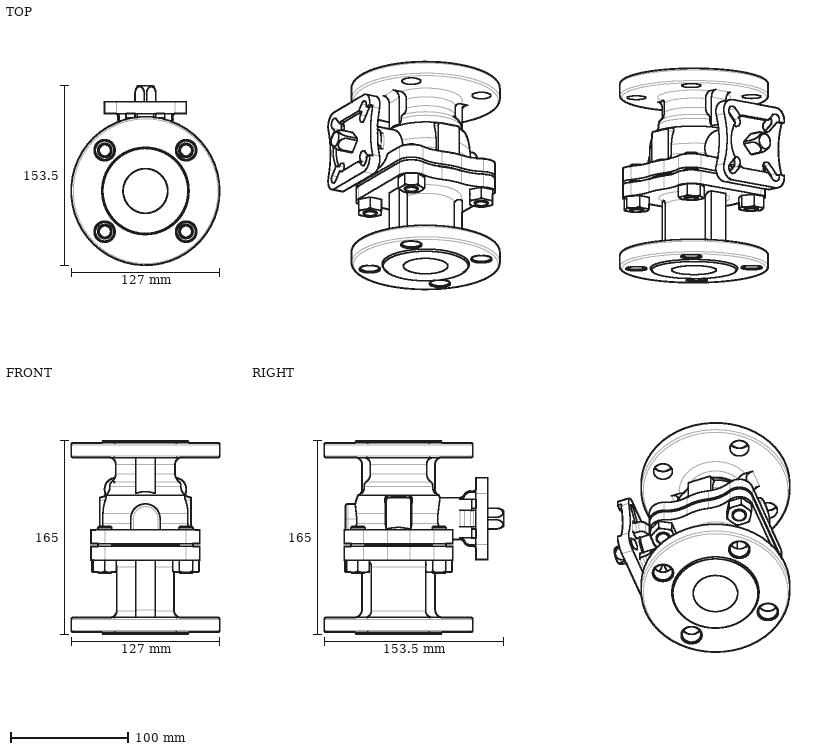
import cadquery as cq
import math


length = 165.0
bore_radius = 38.0 / 2
flange_radius = 127.0 / 2
flange_thickness = 12.5
flange_edge_fillet = 1.6
face_height = 1.6
face_radius = 37.3
face_taper = 30.0
flange_hole_diameter = 16.0
flange_hole_offset = 34.8
flange_hole_chamfer = 1.0
flange_back_low = face_height + flange_thickness
flange_back_high = length - flange_back_low

plate_thickness = 11.7
plate_gap = 2.3
plate_low = 63.2
plate_high = plate_low + plate_thickness + plate_gap
plate_top = plate_high + plate_thickness
bolt_offset = 34.6
plate_half_width = 46.5
plate_side_radius = 44.7
plate_side_half_angle = 12.5
plate_corner_wrap = 23.0
lower_spigot_radius = 40.5
upper_spigot_radius = 39.6

bolt_radius = 12.0 / 2
bolt_end_height = 3.0
bolt_chamfer = 1.2
bolt_tip = 0.8
nut_height = 10.2
nut_corner_radius = 11.2
nut_chamfer = 0.8

lower_neck_radius = 24.6
upper_neck_radius = 25.4
neck_fillet = 5.8
body_radius = 38.0
body_foot_fillet = 5.6
body_straight_top = 103.1
shoulder_radius = 34.6
shoulder_z = 118.5
collar_radius = 30.4
collar_z = 126.4
throat_radius = 28.7
throat_z = 130.2
upper_neck_base = 137.0

rib_width = 16.7
rib_reach = 31.4
rib_lower_fillet = 6.6
rib_upper_fillet = 5.6

front_pad_half_width = 12.5
front_pad_reach = 45.4
front_pad_fillet = 2.0
side_pad_reach = 39.1
side_pad_half_width = 10.4
side_pad_top = 116.7
side_pad_corner = 2.0
side_pad_depth = 13.2
side_pad_draft = 15.0

stem_z = 98.7
boss_radius = 35.8 / 2
boss_end = 62.7
mount_back = 66.2
mount_front = 76.2
mount_half_width = 35.0
mount_corner_radius = 10.0
mount_corner_wrap = 18.0
recess_half_width = 23.0
recess_radius = 26.4
recess_depth = 3.1
slot_width = 8.9
slot_inner_offset = 17.7
slot_outer_offset = 24.8
strut_width = 14.2
strut_radius = 23.6
strut_fillet = 2.3
strut_straight_end = 61.4
strut_bend_y = 56.3
strut_bend_radius = 20.5
strut_start = 52.0
stem_end = 90.0
stem_radius = 18.0 / 2
stem_flats = 14.0
stem_tip_radius = 6.5
stem_taper_start = 83.0


def square_points(offset):
    """Four points at the corners of a square about the origin."""
    return [(sx * offset, sy * offset) for sx in (-1, 1) for sy in (-1, 1)]


def polar(centre, radius, degrees):
    """Point at an angle on a circle about the given centre."""
    angle = math.radians(degrees)
    return (centre[0] + radius * math.cos(angle), centre[1] + radius * math.sin(angle))


def pipe_flange(z, face_up):
    """Flange disc with a raised sealing face on its outer side, its back resting at height z."""
    hole_radius = flange_hole_diameter / 2
    disc = cq.Workplane("XY").circle(flange_radius).extrude(flange_thickness)
    disc = disc.edges().fillet(flange_edge_fillet)
    face = (
        cq.Workplane("XY")
        .workplane(offset=flange_thickness)
        .circle(face_radius)
        .extrude(face_height, taper=face_taper)
    )
    hole_points = square_points(flange_hole_offset)
    holes = cq.Workplane("XY").pushPoints(hole_points).circle(hole_radius).extrude(flange_thickness)
    mouth_cone = cq.Solid.makeCone(
        hole_radius,
        hole_radius + flange_hole_chamfer,
        flange_hole_chamfer,
        pnt=cq.Vector(0, 0, flange_thickness - flange_hole_chamfer),
    )
    mouths = cq.Workplane("XY").pushPoints(hole_points).eachpoint(lambda place: mouth_cone.moved(place))
    flange = disc.cut(holes).cut(mouths).union(face)
    if not face_up:
        flange = flange.rotate((0, 0, 0), (1, 0, 0), 180)
    return flange.translate((0, 0, z))


def side_outline(offset, half_width, wrap):
    """Start the +X half outline of a square plate with its +Y corner, whose arc runs `wrap` degrees past +X.

    Returns the unfinished outline and the end point of the corner arc.
    """
    corner = (offset, offset)
    radius = half_width - offset
    end = polar(corner, radius, -wrap)
    outline = (
        cq.Workplane("XY")
        .moveTo(0, half_width)
        .lineTo(offset, half_width)
        .threePointArc(polar(corner, radius, 45 - wrap / 2), end)
    )
    return outline, end


def finish_plate(outline, offset, half_width, thickness):
    """Close a half outline round its -Y corner, extrude it and mirror it to -X."""
    half = (
        outline.tangentArcPoint((offset, -half_width), relative=False)
        .lineTo(0, -half_width)
        .close()
        .extrude(thickness)
    )
    return half.union(half.mirror("YZ"))


def clamp_plate(z):
    """Square plate with round corners; both X sides dip inward and bulge to an arc about the axis."""
    outline, (end_x, end_y) = side_outline(bolt_offset, plate_half_width, plate_corner_wrap)
    bulge_x, bulge_y = polar((0, 0), plate_side_radius, plate_side_half_angle)
    outline = (
        outline.tangentArcPoint((bulge_x, bulge_y), relative=False)
        .threePointArc((plate_side_radius, 0), (bulge_x, -bulge_y))
        .tangentArcPoint((end_x, -end_y), relative=False)
    )
    return finish_plate(outline, bolt_offset, plate_half_width, plate_thickness).translate((0, 0, z))


def bolt_and_nut(x, y):
    """Through bolt with chamfered ends and a hexagon nut under the lower plate."""
    low = plate_low - nut_height - bolt_tip
    nut_angle = 90 if x * y > 0 else 0
    bolt = (
        cq.Workplane("XY")
        .circle(bolt_radius)
        .extrude(plate_top + bolt_end_height - low)
        .faces(">Z")
        .chamfer(bolt_chamfer)
        .faces("<Z")
        .chamfer(bolt_tip)
        .translate((0, 0, low))
    )
    nut = cq.Workplane("XY").polygon(6, 2 * nut_corner_radius).extrude(nut_height)
    blank = cq.Workplane("XY").circle(nut_corner_radius).extrude(nut_height)
    nut = nut.intersect(blank.faces("<Z").chamfer(nut_chamfer)).rotate((0, 0, 0), (0, 0, 1), nut_angle)
    return bolt.union(nut.translate((0, 0, plate_low - nut_height))).translate((x, y, 0))


def lower_neck():
    """Lower pipe neck, flared where it meets the flange and the lower plate."""
    flare_radius = lower_neck_radius + neck_fillet
    return (
        cq.Workplane("XZ")
        .moveTo(0, flange_back_low)
        .lineTo(flare_radius, flange_back_low)
        .radiusArc((lower_neck_radius, flange_back_low + neck_fillet), neck_fillet)
        .lineTo(lower_neck_radius, plate_low - neck_fillet)
        .radiusArc((flare_radius, plate_low), neck_fillet)
        .lineTo(0, plate_low)
        .close()
        .revolve(360, (0, 0), (0, 1))
    )


def upper_body():
    """Ball chamber, stepped shoulder and upper neck as one revolved profile."""
    foot_top = plate_top + body_foot_fillet
    dome_inset = body_radius - shoulder_radius
    dome_middle = (body_radius - dome_inset / 4, (body_straight_top + shoulder_z) / 2)
    return (
        cq.Workplane("XZ")
        .moveTo(0, flange_back_high)
        .lineTo(upper_neck_radius + neck_fillet, flange_back_high)
        .radiusArc((upper_neck_radius, flange_back_high - neck_fillet), -neck_fillet)
        .lineTo(upper_neck_radius, upper_neck_base)
        .tangentArcPoint((throat_radius, throat_z), relative=False)
        .tangentArcPoint((collar_radius, collar_z), relative=False)
        .tangentArcPoint((shoulder_radius, shoulder_z), relative=False)
        .threePointArc(dome_middle, (body_radius, body_straight_top))
        .lineTo(body_radius, foot_top)
        .radiusArc((body_radius + body_foot_fillet, plate_top), -body_foot_fillet)
        .lineTo(0, plate_top)
        .close()
        .revolve(360, (0, 0), (0, 1))
    )


def rib(flange_back, end, fillet):
    """Flat web through a neck from a flange back to height `end`, flared on both sides at the flange."""
    toward_end = math.copysign(1, end - flange_back)
    flare_end = flange_back + toward_end * fillet
    flare_radius = toward_end * fillet
    half = (
        cq.Workplane("YZ")
        .moveTo(0, flange_back)
        .lineTo(rib_reach + fillet, flange_back)
        .radiusArc((rib_reach, flare_end), flare_radius)
        .lineTo(rib_reach, end)
        .lineTo(0, end)
        .close()
        .extrude(rib_width / 2, both=True)
    )
    return half.union(half.mirror("XZ"))


def front_pad():
    """Arched pad on the -Y side, coaxial with the stem."""
    return (
        cq.Workplane("XZ")
        .moveTo(-front_pad_half_width, plate_top)
        .lineTo(-front_pad_half_width, stem_z)
        .threePointArc((0, stem_z + front_pad_half_width), (front_pad_half_width, stem_z))
        .lineTo(front_pad_half_width, plate_top)
        .close()
        .extrude(front_pad_reach)
        .faces("<Y")
        .edges("not <Z")
        .fillet(front_pad_fillet)
    )


def side_pad():
    """Drafted pad on the +X side, widening toward the body; its foot is buried in the upper plate."""
    foot = plate_top - plate_thickness / 2
    height = side_pad_top - foot
    return (
        cq.Workplane("YZ", origin=(side_pad_reach, 0, foot + height / 2))
        .sketch()
        .rect(2 * side_pad_half_width, height)
        .vertices(">Y")
        .fillet(side_pad_corner)
        .finalize()
        .extrude(-side_pad_depth, taper=-side_pad_draft)
    )


def mount_plate():
    """Actuator plate with concave X sides, diagonal slots and a front recess that opens on the -X side."""
    thickness = mount_front - mount_back
    corner_offset = mount_half_width - mount_corner_radius
    outline, (end_x, end_y) = side_outline(corner_offset, mount_half_width, mount_corner_wrap)
    outline = outline.tangentArcPoint((end_x, -end_y), relative=False)
    plate = finish_plate(outline, corner_offset, mount_half_width, thickness)
    slot_middle = (slot_inner_offset + slot_outer_offset) / 2
    slot_length = math.sqrt(2) * (slot_outer_offset - slot_inner_offset) + slot_width
    for x, y in square_points(slot_middle):
        slot_angle = math.degrees(math.atan2(y, x))
        slot = cq.Workplane("XY").slot2D(slot_length, slot_width, slot_angle).extrude(thickness)
        plate = plate.cut(slot.translate((x, y, 0)))
    recess_arc_x = math.sqrt(recess_radius**2 - recess_half_width**2)
    recess = (
        cq.Workplane("XY")
        .moveTo(-mount_half_width, recess_half_width)
        .lineTo(recess_arc_x, recess_half_width)
        .threePointArc((recess_radius, 0), (recess_arc_x, -recess_half_width))
        .lineTo(-mount_half_width, -recess_half_width)
        .close()
        .extrude(recess_depth)
    )
    return plate.cut(recess).rotate((0, 0, 0), (1, 0, 0), 90).translate((0, mount_front, stem_z))


def about_stem(profile):
    """Revolve a half profile, drawn as (radius, y), about the stem axis."""
    return profile.close().revolve(360, (0, 0), (0, 1)).translate((0, 0, stem_z))


def mount_struts():
    """Four struts joining the mount plate to the stem boss, cut from one revolved collar."""
    flare_radius = strut_radius + strut_fillet
    collar = about_stem(
        cq.Workplane("XY")
        .moveTo(0, mount_back)
        .lineTo(flare_radius, mount_back)
        .radiusArc((strut_radius, mount_back - strut_fillet), -strut_fillet)
        .lineTo(strut_radius, strut_straight_end)
        .tangentArcPoint((strut_bend_radius, strut_bend_y), relative=False)
        .tangentArcPoint((boss_radius, strut_start), relative=False)
        .lineTo(0, strut_start)
    )
    clearance = cq.Workplane("XZ").circle(boss_radius).extrude(boss_end - mount_back)
    span = 2 * mount_half_width
    middle = (0, (strut_start + mount_back) / 2, stem_z)
    bars = cq.Workplane("XY").box(span, span, strut_width)
    bars = bars.union(cq.Workplane("XY").box(strut_width, span, span))
    return collar.intersect(bars.translate(middle)).cut(clearance.translate((0, boss_end, stem_z)))


def stem():
    """Square stem with rounded corners and a curved taper at its tip, standing in a round boss."""
    core = about_stem(
        cq.Workplane("XY")
        .lineTo(stem_radius, 0)
        .lineTo(stem_radius, stem_taper_start)
        .tangentArcPoint((stem_tip_radius, stem_end), relative=False)
        .lineTo(0, stem_end)
    )
    square = cq.Workplane("XZ").rect(stem_flats, stem_flats).extrude(-stem_end)
    square = square.rotate((0, 0, 0), (0, 1, 0), 45).translate((0, 0, stem_z))
    boss = cq.Workplane("XZ").circle(boss_radius).extrude(-boss_end).translate((0, 0, stem_z))
    return core.intersect(square).union(boss)


valve = pipe_flange(flange_back_low, face_up=False).union(pipe_flange(flange_back_high, face_up=True))
valve = valve.union(lower_neck()).union(upper_body())
valve = valve.union(rib(flange_back_low, plate_low, rib_lower_fillet))
valve = valve.union(rib(flange_back_high, shoulder_z, rib_upper_fillet))

joint_z = plate_high - plate_gap / 2
joint = cq.Workplane("XY").workplane(offset=joint_z)
lower_spigot = joint.circle(lower_spigot_radius).extrude(plate_low - joint_z)
upper_spigot = joint.circle(upper_spigot_radius).extrude(plate_top - joint_z)
valve = valve.union(clamp_plate(plate_low)).union(clamp_plate(plate_high))
valve = valve.union(lower_spigot).union(upper_spigot)
for bolt_x, bolt_y in square_points(bolt_offset):
    valve = valve.union(bolt_and_nut(bolt_x, bolt_y))

valve = valve.union(front_pad()).union(side_pad()).union(side_pad().mirror("YZ"))
valve = valve.union(mount_plate()).union(mount_struts()).union(stem())

bore = cq.Workplane("XY").circle(bore_radius).extrude(length)
result = valve.cut(bore)